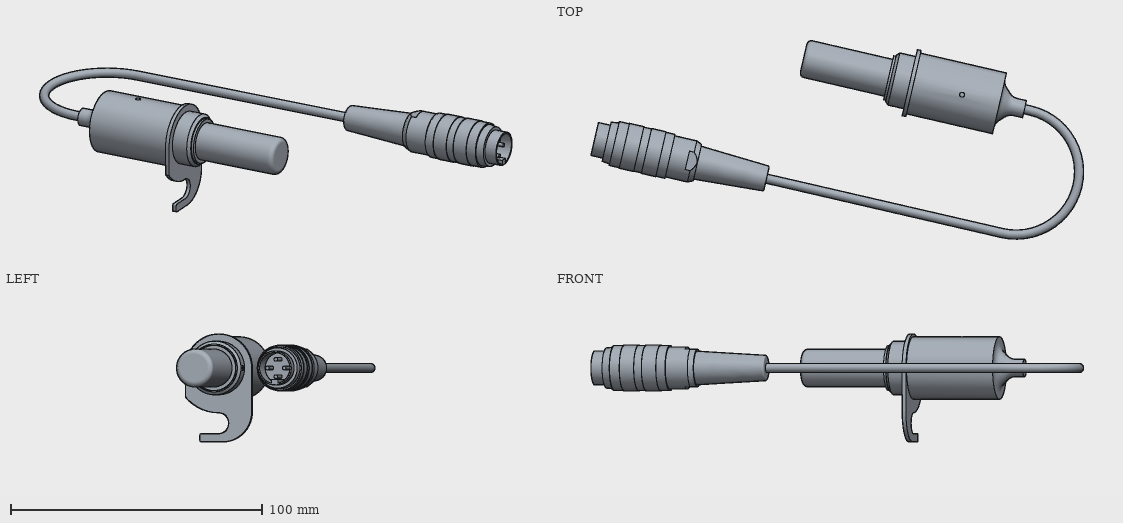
import cadquery as cq
import math

lay_angle = -13.0
axis_spacing = 50.0
bend_radius = axis_spacing / 2
sensor_axis_y = bend_radius
plug_axis_y = -bend_radius
cable_diameter = 3.7
upper_cable_length = 2.4
lower_cable_length = 96.1

probe_diameter = 15.1
tip_fillet = 2.0
lip_diameter = 18.0
collar_diameter = 21.4
collar_chamfer = 1.2
flange_diameter = 27.0
body_diameter = 25.0
grommet_diameter = 7.0
flare_size = 6.5
flare_fillet = 4.7
lip_start = 34.7
collar_start = 35.7
flange_start = 43.4
flange_thickness = 1.5
body_end = 80.0
grommet_end = 90.2
sensor_tip_x = -upper_cable_length - grommet_end

hook_drop = 29.5
web_radius = 17.9
slot_radius = 4.1
heel_radius = 12.0
finger_reach = 7.7
finger_corner = 0.8

collar_hole_diameter = 2.2
collar_hole_station = 40.2
body_hole_diameter = 2.0
body_hole_station = 64.7
radial_hole_depth = 3.0

shell_diameter = 13.5
shell_bore_diameter = 12.4
shell_bore_depth = 9.8
shell_length = 5.0
nose_diameters = (16.0, 16.9)
grip_start = 8.0
groove_diameter = 18.0
rib_diameter = 18.5
rib_starts = (12.2, 21.2)
rib_length = 5.9
grip_end = 30.8
rear_diameter = 16.9
rear_chamfer_start = 39.8
rear_end = 42.0
rear_end_diameter = 15.0
boot_diameters = (13.5, 10.2)
boot_end = 70.2
boot_fillet = 0.8
flat_start = 37.9
flat_offset = 7.55

pin_count = 4
pin_diameter = 1.5
pin_circle_radius = 3.43
pin_length = 7.8

key_width = 2.7
key_top_offset = 4.5

plug_front_x = -lower_cable_length - boot_end


def revolve_about_x(outline):
    """Turn a closed half-outline in the XY plane about the X axis."""
    return outline.close().revolve(360, (0, 0, 0), (1, 0, 0))


def rod_along_x(diameter, start, end):
    return cq.Workplane("YZ", origin=(start, 0, 0)).circle(diameter / 2).extrude(end - start)


def make_sensor_barrel():
    probe_r = probe_diameter / 2
    lip_r = lip_diameter / 2
    collar_r = collar_diameter / 2
    body_r = body_diameter / 2
    grommet_r = grommet_diameter / 2
    flare_r = grommet_r + flare_size
    flare_end = body_end + flare_size
    mid_along = flare_fillet * math.sin(math.pi / 8)
    mid_aside = flare_fillet * (1 - math.cos(math.pi / 8))
    end_along = flare_fillet * math.sin(math.pi / 4)
    end_aside = flare_fillet * (1 - math.cos(math.pi / 4))
    outline = (
        cq.Workplane("XY")
        .lineTo(0, probe_r)
        .lineTo(lip_start, probe_r)
        .lineTo(lip_start, lip_r)
        .lineTo(collar_start, lip_r)
        .lineTo(collar_start, collar_r - collar_chamfer)
        .lineTo(collar_start + collar_chamfer, collar_r)
        .lineTo(flange_start, collar_r)
        .lineTo(flange_start, body_r)
        .lineTo(body_end, body_r)
        .lineTo(body_end, flare_r)
        .threePointArc(
            (body_end + mid_aside, flare_r - mid_along),
            (body_end + end_aside, flare_r - end_along),
        )
        .lineTo(flare_end - end_along, grommet_r + end_aside)
        .threePointArc((flare_end - mid_along, grommet_r + mid_aside), (flare_end, grommet_r))
        .lineTo(grommet_end, grommet_r)
        .lineTo(grommet_end, 0)
    )
    return revolve_about_x(outline).faces("<X").edges().fillet(tip_fillet)


def make_hook_flange():
    """Flat plate: a disc with a web below it that ends in a hook open towards +Y."""
    flange_r = flange_diameter / 2
    web_side_z = -math.sqrt(web_radius**2 - flange_r**2)
    slot_z = -web_radius - slot_radius
    finger_top = slot_z - slot_radius
    heel_y = heel_radius - flange_r
    heel_z = heel_radius - hook_drop
    heel_diagonal = heel_radius * math.sqrt(0.5)
    web_angle = (math.atan2(-web_side_z, flange_r) + math.pi / 2) / 2
    web_mid = (web_radius * math.cos(web_angle), -web_radius * math.sin(web_angle))
    return (
        cq.Workplane("YZ", origin=(flange_start, 0, 0))
        .moveTo(-flange_r, 0)
        .threePointArc((0, flange_r), (flange_r, 0))
        .lineTo(flange_r, web_side_z)
        .threePointArc(web_mid, (0, -web_radius))
        .threePointArc((-slot_radius, slot_z), (0, finger_top))
        .lineTo(finger_reach, finger_top)
        .lineTo(finger_reach, -hook_drop)
        .lineTo(heel_y, -hook_drop)
        .threePointArc((heel_y - heel_diagonal, heel_z - heel_diagonal), (-flange_r, heel_z))
        .close()
        .extrude(flange_thickness)
        .edges(cq.selectors.BoxSelector(
            (flange_start - 2, finger_reach - 0.2, -hook_drop - 2),
            (flange_start + 4, finger_reach + 0.2, finger_top + 2),
        ))
        .edges("|X")
        .fillet(finger_corner)
    )


def radial_hole(diameter, station, surface_diameter, turn):
    """Cutter for a blind hole from the top of the surface, turned about the X axis."""
    bottom = surface_diameter / 2 - radial_hole_depth
    cutter = cq.Workplane("XY", origin=(station, 0, bottom)).circle(diameter / 2)
    return cutter.extrude(2 * radial_hole_depth).rotate((0, 0, 0), (1, 0, 0), turn)


def make_sensor():
    sensor = make_sensor_barrel().union(make_hook_flange())
    sensor = sensor.cut(radial_hole(collar_hole_diameter, collar_hole_station, collar_diameter, 90))
    sensor = sensor.cut(radial_hole(body_hole_diameter, body_hole_station, body_diameter, 0))
    return sensor.translate((sensor_tip_x, sensor_axis_y, 0))


def make_cable():
    """Cable from the grommet round the bend to the end face of the plug boot."""
    path = (
        cq.Workplane("XY")
        .moveTo(-upper_cable_length, sensor_axis_y)
        .lineTo(0, sensor_axis_y)
        .threePointArc((bend_radius, 0), (0, plug_axis_y))
        .lineTo(-lower_cable_length, plug_axis_y)
    )
    section = cq.Workplane("YZ", origin=(-upper_cable_length, sensor_axis_y, 0))
    return section.circle(cable_diameter / 2).sweep(path)


def make_plug_barrel():
    outline = (
        cq.Workplane("XY")
        .lineTo(0, shell_diameter / 2)
        .lineTo(shell_length, shell_diameter / 2)
        .lineTo(shell_length, nose_diameters[0] / 2)
        .lineTo(grip_start, nose_diameters[1] / 2)
        .lineTo(grip_start, groove_diameter / 2)
        .lineTo(grip_end, groove_diameter / 2)
        .lineTo(grip_end, rear_diameter / 2)
        .lineTo(rear_chamfer_start, rear_diameter / 2)
        .lineTo(rear_end, rear_end_diameter / 2)
        .lineTo(rear_end, boot_diameters[0] / 2)
        .lineTo(boot_end, boot_diameters[1] / 2)
        .lineTo(boot_end, 0)
    )
    return revolve_about_x(outline).faces(">X").edges().fillet(boot_fillet)


def flat_cutter(side):
    """Box that cuts one wrench flat; side is 1 for the top and -1 for the bottom."""
    height = rear_diameter / 2
    return cq.Workplane("XY").box(
        rear_end - flat_start, rear_diameter, height, centered=(False, True, True)
    ).translate((flat_start, 0, side * (flat_offset + height / 2)))


def make_key():
    depth = (shell_bore_diameter + shell_diameter) / 4
    return cq.Workplane("XY").box(
        shell_bore_depth, key_width, depth - key_top_offset, centered=(False, True, False)
    ).translate((0, 0, -depth))


def make_plug():
    plug = make_plug_barrel()
    for start in rib_starts:
        plug = plug.union(rod_along_x(rib_diameter, start, start + rib_length))
    for side in (1, -1):
        plug = plug.cut(flat_cutter(side))
    plug = plug.cut(rod_along_x(shell_bore_diameter, 0, shell_bore_depth))
    plug = plug.union(make_key())
    for index in range(pin_count):
        pin = rod_along_x(pin_diameter, shell_bore_depth - pin_length, shell_bore_depth)
        pin = pin.translate((0, pin_circle_radius, 0))
        plug = plug.union(pin.rotate((0, 0, 0), (1, 0, 0), index * 360 / pin_count))
    return plug.translate((plug_front_x, plug_axis_y, 0))


def lay(body):
    return body.rotate((0, 0, 0), (0, 0, 1), lay_angle)


wired_sensor = lay(make_sensor().union(make_cable()))
plug = lay(make_plug())

result = cq.Compound.makeCompound([wired_sensor.val(), plug.val()])